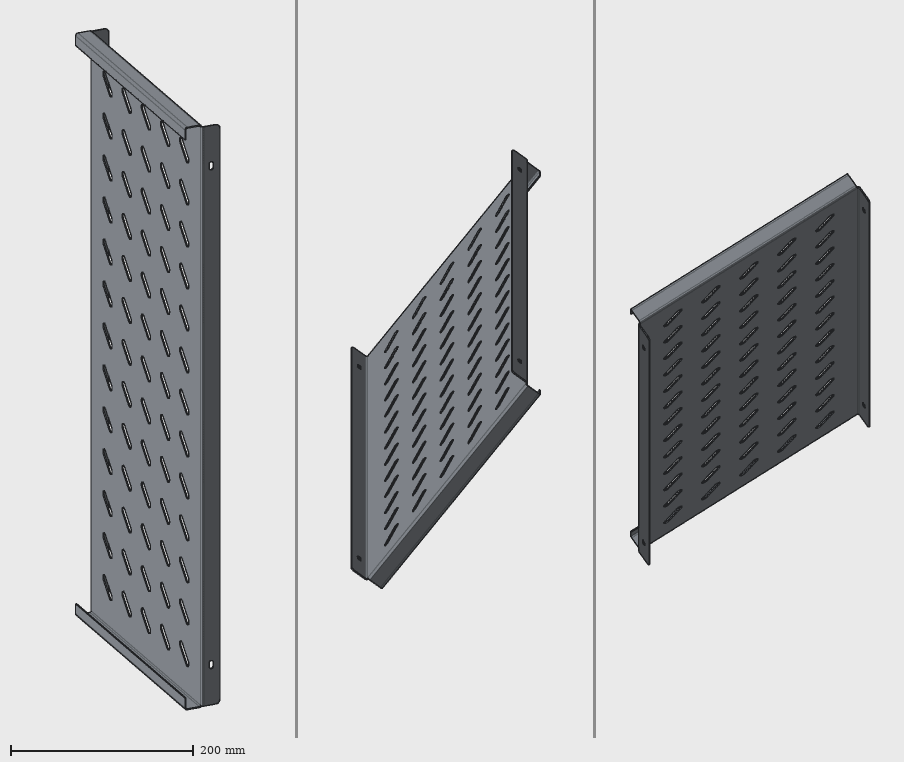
import cadquery as cq

width = 292.0
depth = 41.0
height = 697.0

sheet = 1.45
inner_radius = sheet
outer_radius = inner_radius + sheet

side_flange_depth = 22.0
side_flange_shortfall = 2.0
side_flange_corner = 5.0
lip_height = 14.5

slot_columns = 5
slot_rows = 13
slot_pitch = 50.0
slot_length = 31.0
slot_width = 8.5
slot_angle = -45

fixing_length = 10.0
fixing_width = 5.0
fixing_edge_distance = 10.5
fixing_end_distance = 50.0

half_width = width / 2
half_height = height / 2
lip_front = -depth / 2
flange_back = depth / 2
plate_front = flange_back - side_flange_depth
plate_back = plate_front + sheet
plate_half_width = half_width - outer_radius
plate_half_height = half_height - outer_radius
side_flange_half_height = half_height - side_flange_shortfall


def make_plate():
    plate = cq.Workplane("XY").box(2 * plate_half_width, sheet, 2 * plate_half_height)
    return plate.translate((0, (plate_front + plate_back) / 2, 0))


def make_side_flange():
    """Flange on the +X side, bent from the plate toward +Y."""
    bend_end = plate_front + outer_radius
    return (
        cq.Workplane("XY", origin=(0, 0, -side_flange_half_height))
        .moveTo(plate_half_width, plate_back)
        .lineTo(plate_half_width, plate_front)
        .radiusArc((half_width, bend_end), -outer_radius)
        .lineTo(half_width, flange_back)
        .lineTo(half_width - sheet, flange_back)
        .lineTo(half_width - sheet, bend_end)
        .radiusArc((plate_half_width, plate_back), inner_radius)
        .close()
        .extrude(2 * side_flange_half_height)
        .edges("|X and >Y")
        .fillet(side_flange_corner)
    )


def make_end_flange():
    """Flange at the +Z end, bent from the plate toward -Y, with a lip turned back toward -Z."""
    inner_top = half_height - sheet
    lip_bottom = half_height - lip_height
    return (
        cq.Workplane("YZ", origin=(-plate_half_width, 0, 0))
        .moveTo(plate_front, plate_half_height)
        .lineTo(plate_back, plate_half_height)
        .radiusArc((plate_back - outer_radius, half_height), -outer_radius)
        .lineTo(lip_front + outer_radius, half_height)
        .radiusArc((lip_front, plate_half_height), -outer_radius)
        .lineTo(lip_front, lip_bottom)
        .lineTo(lip_front + sheet, lip_bottom)
        .lineTo(lip_front + sheet, plate_half_height)
        .radiusArc((lip_front + outer_radius, inner_top), inner_radius)
        .lineTo(plate_back - outer_radius, inner_top)
        .radiusArc((plate_front, plate_half_height), inner_radius)
        .close()
        .extrude(2 * plate_half_width)
    )


def make_plate_slots():
    return (
        cq.Workplane("XZ", origin=(0, plate_back, 0))
        .rarray(slot_pitch, slot_pitch, slot_columns, slot_rows)
        .slot2D(slot_length, slot_width, slot_angle)
        .extrude(sheet)
    )


def make_fixing_slots():
    """Upright slots near both ends, passing through both side flanges."""
    slot_y = flange_back - fixing_edge_distance
    slot_z = half_height - fixing_end_distance
    return (
        cq.Workplane("YZ")
        .pushPoints([(slot_y, -slot_z), (slot_y, slot_z)])
        .slot2D(fixing_length, fixing_width, 90)
        .extrude(half_width, both=True)
    )


side_flange = make_side_flange()
end_flange = make_end_flange()

result = (
    make_plate()
    .union(side_flange)
    .union(side_flange.mirror("YZ"))
    .union(end_flange)
    .union(end_flange.mirror("XY"))
    .cut(make_plate_slots())
    .cut(make_fixing_slots())
)